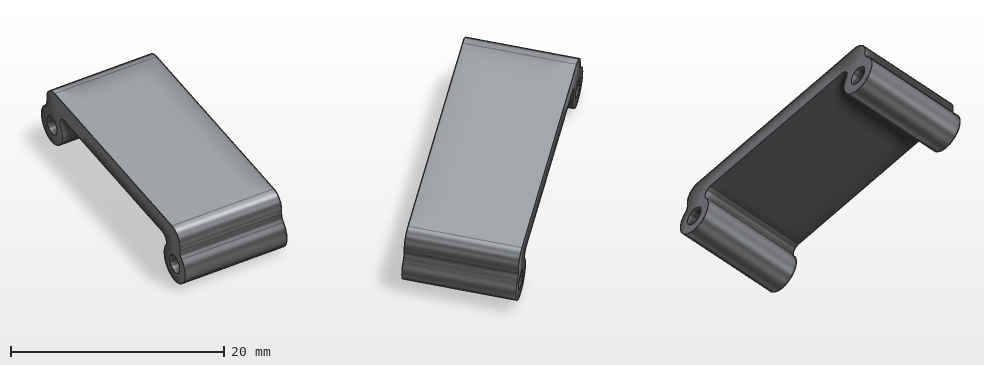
import cadquery as cq
import math

length = 27.3
depth = 11.0
height = 6.25
barrel_radius = 2.0
hole_diameter = 1.9
wall_inset = 1.0
plate_thickness = 2.0
corner_radius = 1.5
outer_blend_radius = 1.0
inner_blend_radius = 0.76

barrel_x = length / 2 - barrel_radius
barrel_z = barrel_radius
wall_x = length / 2 - wall_inset
underside_z = height - plate_thickness
corner_x = wall_x - corner_radius
corner_z = height - corner_radius

outer_blend_x = wall_x + outer_blend_radius
outer_blend_z = barrel_z + math.sqrt(
    (barrel_radius + outer_blend_radius) ** 2 - (outer_blend_x - barrel_x) ** 2
)
inner_blend_z = underside_z - inner_blend_radius
inner_blend_x = barrel_x - math.sqrt(
    (barrel_radius + inner_blend_radius) ** 2 - (inner_blend_z - barrel_z) ** 2
)


def on_barrel_toward(x, z):
    """Point of the barrel circle in the direction of (x, z)."""
    angle = math.atan2(z - barrel_z, x - barrel_x)
    return (
        barrel_x + barrel_radius * math.cos(angle),
        barrel_z + barrel_radius * math.sin(angle),
    )


def right_half():
    """Clip half at +X, extruded along +Y from the front face."""
    outline = (
        cq.Workplane("XZ")
        .moveTo(0, underside_z)
        .lineTo(0, height)
        .lineTo(corner_x, height)
        .tangentArcPoint((wall_x, corner_z), relative=False)
        .lineTo(wall_x, outer_blend_z)
        .tangentArcPoint(on_barrel_toward(outer_blend_x, outer_blend_z), relative=False)
        .threePointArc((barrel_x, 0), on_barrel_toward(inner_blend_x, inner_blend_z))
        .tangentArcPoint((inner_blend_x, underside_z), relative=False)
        .close()
    )
    hole = cq.Workplane("XZ").center(barrel_x, barrel_z).circle(hole_diameter / 2)
    return outline.extrude(-depth).cut(hole.extrude(-depth))


half = right_half()
result = half.union(half.mirror("YZ")).clean()